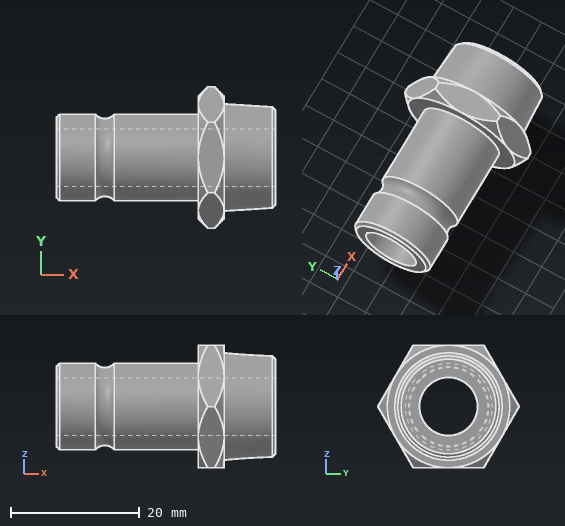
import cadquery as cq
import math

length = 34.0
tube_radius = 6.73
bore_radius = 4.5
end_chamfer = 0.5

groove_center_x = 7.5
groove_width = 3.0
groove_arc_radius = 2.0

hex_start_x = 22.0
hex_thickness = 4.0
hex_across_flats = 19.0
hex_end_x = hex_start_x + hex_thickness
hex_corner_radius = hex_across_flats / 2 / math.cos(math.pi / 6)

taper_base_radius = 8.33
taper_tip_radius = 7.85


def revolve_about_x(profile):
    """Close a radial (X, Y) profile and turn it about the X axis."""
    return profile.close().revolve(360, (0, 0, 0), (1, 0, 0))


def make_tube():
    """Round tube with a chamfered free end and a ring groove."""
    groove_half_width = groove_width / 2
    groove_depth = groove_arc_radius - math.sqrt(groove_arc_radius**2 - groove_half_width**2)
    return revolve_about_x(
        cq.Workplane("XY")
        .lineTo(0, tube_radius - end_chamfer)
        .lineTo(end_chamfer, tube_radius)
        .lineTo(groove_center_x - groove_half_width, tube_radius)
        .threePointArc(
            (groove_center_x, tube_radius - groove_depth),
            (groove_center_x + groove_half_width, tube_radius),
        )
        .lineTo(hex_end_x, tube_radius)
        .lineTo(hex_end_x, 0)
    )


def make_hex_collar():
    """Hexagon with corners on Y and flats on Z, its corners turned off at 45 degrees on both sides."""
    hexagon = (
        cq.Workplane("YZ", origin=(hex_start_x, 0, 0))
        .polygon(6, 2 * hex_corner_radius)
        .extrude(hex_thickness)
    )
    face_radius = hex_across_flats / 2
    corner_chamfer = hex_corner_radius - face_radius
    turned_blank = revolve_about_x(
        cq.Workplane("XY")
        .moveTo(hex_start_x, 0)
        .lineTo(hex_start_x, face_radius)
        .lineTo(hex_start_x + corner_chamfer, hex_corner_radius)
        .lineTo(hex_end_x - corner_chamfer, hex_corner_radius)
        .lineTo(hex_end_x, face_radius)
        .lineTo(hex_end_x, 0)
    )
    return hexagon.intersect(turned_blank)


def make_tapered_end():
    """Slightly conical end with a chamfered tip."""
    return revolve_about_x(
        cq.Workplane("XY")
        .moveTo(hex_end_x, 0)
        .lineTo(hex_end_x, taper_base_radius)
        .lineTo(length - end_chamfer, taper_tip_radius)
        .lineTo(length, taper_tip_radius - end_chamfer)
        .lineTo(length, 0)
    )


bore = cq.Workplane("YZ").circle(bore_radius).extrude(length)

result = make_tube().union(make_hex_collar()).union(make_tapered_end()).cut(bore)